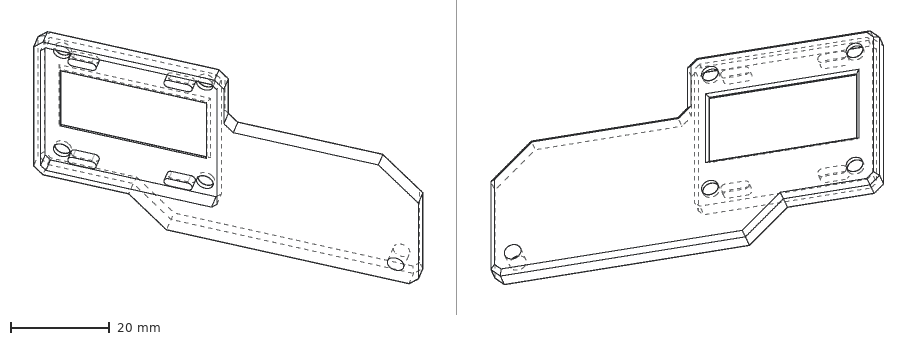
import cadquery as cq
import math

length = 81.7
thickness = 4.1
height = 46.5
back_chamfer = 1.0

frame_width = 40.4
frame_height = 38.5
wall = 1.5
corner_cut = 2.0
frame_bottom = height - frame_height
frame_center_x = frame_width / 2
frame_center_z = frame_bottom + frame_height / 2

wing_drop = 14.0
wing_top = height - wing_drop
wing_top_corner_cut = 8.5
wing_slope_start = 20.2

floor_thickness = 1.0
recess_depth = thickness - floor_thickness
recess_corner_cut = corner_cut - wall * (2 - math.sqrt(2))

window_width = 31.0
window_height = 16.0
window_center_drop = 18.5
window_center_z = height - window_center_drop
window_flare = 0.6

hole_diameter = 3.5
hole_spacing_x = 30.4
hole_spacing_z = 28.5
wing_hole_inset = 4.85

peg_length = 6.0
peg_width = 2.0
peg_height = 2.2
peg_offset = 5.0
peg_spacing_x = hole_spacing_x - 2 * peg_offset


def front_plane(depth):
    """Sketch plane facing -Y, at the given distance behind the front face."""
    return cq.Workplane("XZ", origin=(0, depth, 0))


def frame_grid(spacing_x):
    """Four points centred on the frame, on the screw hole rows."""
    return [
        (frame_center_x + side * spacing_x / 2, frame_center_z + row * hole_spacing_z / 2)
        for side in (-1, 1)
        for row in (-1, 1)
    ]


def make_plate():
    """Plate outline with its back edge chamfered all round."""
    outline = [
        (corner_cut, height),
        (frame_width - corner_cut, height),
        (frame_width, height - corner_cut),
        (frame_width, wing_top + corner_cut),
        (frame_width + corner_cut, wing_top),
        (length - wing_top_corner_cut, wing_top),
        (length, wing_top - wing_top_corner_cut),
        (length, corner_cut),
        (length - corner_cut, 0),
        (wing_slope_start + frame_bottom, 0),
        (wing_slope_start, frame_bottom),
        (corner_cut, frame_bottom),
        (0, frame_bottom + corner_cut),
        (0, height - corner_cut),
    ]
    plate = front_plane(0).polyline(outline).close().extrude(-thickness)
    return plate.faces(">Y").chamfer(back_chamfer)


def make_recess():
    """Pocket volume inside the frame wall, with cut corners."""
    return (
        front_plane(0)
        .center(frame_center_x, frame_center_z)
        .rect(frame_width - 2 * wall, frame_height - 2 * wall)
        .extrude(-recess_depth)
        .edges("|Y")
        .chamfer(recess_corner_cut)
    )


def make_window():
    """Rectangular opening through the floor, flaring out at 45 degrees to the back face."""
    opening = (
        front_plane(0)
        .center(frame_center_x, window_center_z)
        .rect(window_width, window_height)
        .extrude(-thickness)
    )
    flare = (
        front_plane(thickness - window_flare)
        .center(frame_center_x, window_center_z)
        .rect(window_width, window_height)
        .workplane(offset=-window_flare)
        .rect(window_width + 2 * window_flare, window_height + 2 * window_flare)
        .loft(ruled=True)
    )
    return opening.union(flare)


def make_holes():
    """Four screw holes in the frame and one in the lower right corner of the wing."""
    points = frame_grid(hole_spacing_x) + [(length - wing_hole_inset, wing_hole_inset)]
    return front_plane(0).pushPoints(points).circle(hole_diameter / 2).extrude(-thickness)


def make_pegs():
    """Four round-ended pegs, rooted in the floor so that they fuse with it."""
    return (
        front_plane(recess_depth - peg_height)
        .pushPoints(frame_grid(peg_spacing_x))
        .slot2D(peg_length, peg_width)
        .extrude(-(peg_height + floor_thickness / 2))
    )


result = (
    make_plate()
    .cut(make_recess())
    .union(make_pegs())
    .cut(make_window())
    .cut(make_holes())
)